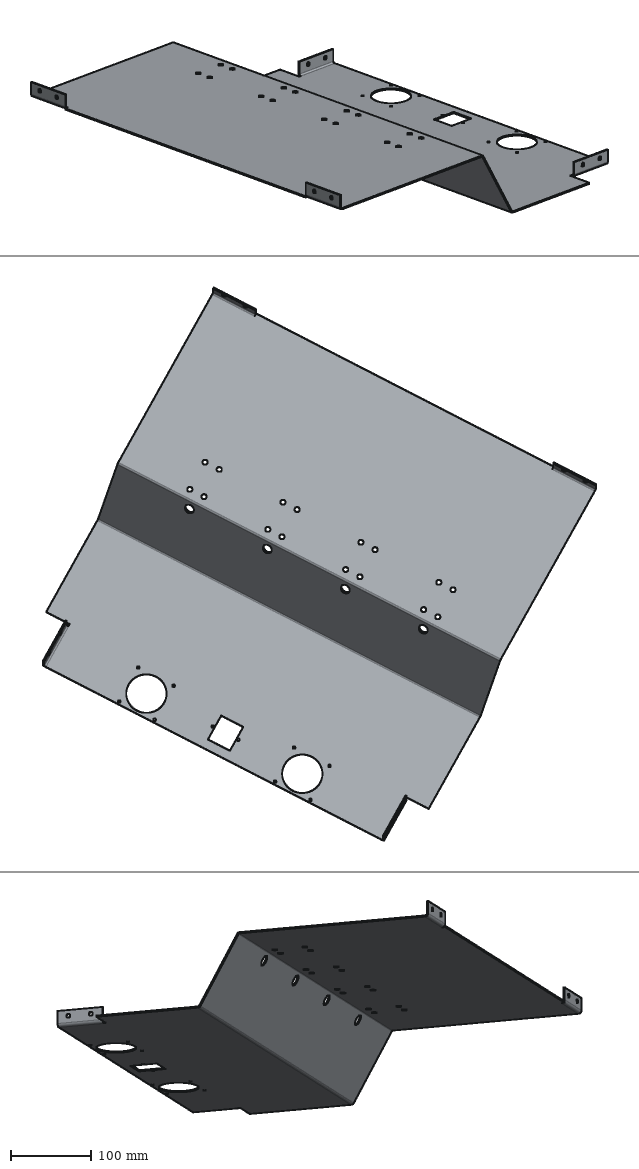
import cadquery as cq
import math

SHEET = 2.0
TAB_INNER_RADIUS = 2.11
TAB_OUTER_RADIUS = TAB_INNER_RADIUS + SHEET
UPPER_INNER_RADIUS = 0.92
UPPER_OUTER_RADIUS = UPPER_INNER_RADIUS + SHEET
LOWER_INNER_RADIUS = 2.11
LOWER_OUTER_RADIUS = LOWER_INNER_RADIUS + SHEET

WIDTH = 540.0
DEPTH = 504.2
HEIGHT = 110.33

SLOPE_ANGLE = 60.0
TAB_HEIGHT = 20.0
SHELF_Z = HEIGHT - TAB_HEIGHT
SHELF_DEPTH = 253.0

REAR_WIDTH = 482.0
NOTCH_DEPTH = 63.0

TAB_LENGTH = 60.0
TAB_HOLE_DIAMETER = 5.0
TAB_HOLE_SPACING = 30.0
TAB_HOLE_DROP = 7.5
SIDE_HOLE_SHIFT = 0.7

FAN_OFFSET = 110.0
FAN_INSET = 28.7
FAN_DIAMETER = 50.0
FAN_SCREW_SPACING = 50.0
SCREW_DIAMETER = 3.2

SOCKET_X = -1.0
SOCKET_INSET = 30.0
SOCKET_WIDTH = 31.0
SOCKET_LENGTH = 35.0
SOCKET_SCREW_SPACING = 36.0

STATION_PITCH = 110.0
STATION_COUNT = 4
MOUNT_DIAMETER = 6.4
MOUNT_X_SPACING = 20.0
MOUNT_Y_SPACING = 40.0
MOUNT_INSET = 13.0
CABLE_DIAMETER = 12.0
CABLE_DROP = 12.0
CABLE_CUT_LENGTH = 15.0

CUT_LENGTH = 30.0
STATION_XS = [(i - (STATION_COUNT - 1) / 2) * STATION_PITCH for i in range(STATION_COUNT)]


def make_stepped_sheet():
    """Upper shelf, slope and lower shelf as one bent sheet of full width."""
    angle = math.radians(SLOPE_ANGLE)
    slope_run = SHELF_Z / math.tan(angle)
    bend_shift = SHEET * math.tan(angle / 2)
    top_bend_y = SHELF_DEPTH
    low_bend_y = top_bend_y + slope_run
    sheet = (
        cq.Workplane("YZ")
        .moveTo(0, SHELF_Z + SHEET)
        .lineTo(top_bend_y, SHELF_Z + SHEET)
        .lineTo(low_bend_y, SHEET)
        .lineTo(DEPTH, SHEET)
        .lineTo(DEPTH, 0)
        .lineTo(low_bend_y - bend_shift, 0)
        .lineTo(top_bend_y - bend_shift, SHELF_Z)
        .lineTo(0, SHELF_Z)
        .close()
        .extrude(WIDTH / 2, both=True)
    )

    bends = [
        (top_bend_y, SHELF_Z + SHEET, UPPER_OUTER_RADIUS),
        (top_bend_y - bend_shift, SHELF_Z, UPPER_INNER_RADIUS),
        (low_bend_y - bend_shift, 0, LOWER_OUTER_RADIUS),
        (low_bend_y, SHEET, LOWER_INNER_RADIUS),
    ]
    for y, z, radius in bends:
        corner = cq.selectors.NearestToPointSelector((0, y, z))
        sheet = sheet.edges(corner).fillet(radius)
    return sheet


def make_tab(hole_shift):
    """Upright tab centred on X = 0, outer face at Y = 0, bent up from a sheet whose bottom is Z = 0.

    The pair of holes is moved along X by hole_shift from the middle of the tab.
    """
    hole_xs = [hole_shift + side * TAB_HOLE_SPACING / 2 for side in (-1, 1)]
    outer_mid = TAB_OUTER_RADIUS * (1 - math.sqrt(0.5))
    inner_mid = TAB_OUTER_RADIUS - TAB_INNER_RADIUS * math.sqrt(0.5)
    tab = (
        cq.Workplane("YZ")
        .moveTo(TAB_OUTER_RADIUS, 0)
        .threePointArc((outer_mid, outer_mid), (0, TAB_OUTER_RADIUS))
        .lineTo(0, TAB_HEIGHT)
        .lineTo(SHEET, TAB_HEIGHT)
        .lineTo(SHEET, TAB_OUTER_RADIUS)
        .threePointArc((inner_mid, inner_mid), (TAB_OUTER_RADIUS, SHEET))
        .close()
        .extrude(TAB_LENGTH / 2, both=True)
    )
    holes = (
        cq.Workplane("XZ")
        .pushPoints([(x, TAB_HEIGHT - TAB_HOLE_DROP) for x in hole_xs])
        .circle(TAB_HOLE_DIAMETER / 2)
        .extrude(CUT_LENGTH, both=True)
    )
    return tab.cut(holes)


def add_front_tabs(body):
    """Trim the front corners back to the bend lines and join the two front tabs."""
    tab = make_tab(0)
    strip = cq.Workplane("XY").box(TAB_LENGTH, 2 * TAB_OUTER_RADIUS, CUT_LENGTH)
    for side in (-1, 1):
        position = (side * (WIDTH - TAB_LENGTH) / 2, 0, SHELF_Z)
        body = body.cut(strip.translate(position)).union(tab.translate(position))
    return body


def add_side_tabs(body):
    """Notch the rear corners to the bend lines and join the two side tabs."""
    notch_width = (WIDTH - REAR_WIDTH) / 2 + TAB_OUTER_RADIUS
    notch = cq.Workplane("XY").box(2 * notch_width, 2 * NOTCH_DEPTH, CUT_LENGTH)
    for side in (-1, 1):
        tab = make_tab(side * SIDE_HOLE_SHIFT).rotate((0, 0, 0), (0, 0, 1), side * 90)
        body = body.cut(notch.translate((side * WIDTH / 2, DEPTH, 0)))
        body = body.union(tab.translate((side * REAR_WIDTH / 2, DEPTH - TAB_LENGTH / 2, 0)))
    return body


def vertical_pins(points, diameter, z):
    """Vertical cylinders that pass through the sheet at height z."""
    return (
        cq.Workplane("XY", origin=(0, 0, z))
        .pushPoints(points)
        .circle(diameter / 2)
        .extrude(CUT_LENGTH, both=True)
    )


def cut_fans(body):
    """Two large round openings, each with four screw holes at the corners of a square."""
    y = DEPTH - FAN_INSET
    half = FAN_SCREW_SPACING / 2
    for x in (-FAN_OFFSET, FAN_OFFSET):
        screws = [(x + i * half, y + j * half) for i in (-1, 1) for j in (-1, 1)]
        body = body.cut(vertical_pins([(x, y)], FAN_DIAMETER, 0))
        body = body.cut(vertical_pins(screws, SCREW_DIAMETER, 0))
    return body


def cut_socket(body):
    """Rectangular opening with a screw hole on each side."""
    y = DEPTH - SOCKET_INSET
    opening = cq.Workplane("XY").box(SOCKET_WIDTH, SOCKET_LENGTH, CUT_LENGTH)
    screws = [(SOCKET_X + side * SOCKET_SCREW_SPACING / 2, y) for side in (-1, 1)]
    body = body.cut(opening.translate((SOCKET_X, y, 0)))
    return body.cut(vertical_pins(screws, SCREW_DIAMETER, 0))


def cut_mounts(body):
    """Four mounting holes in the upper shelf at each station."""
    rear_y = SHELF_DEPTH - MOUNT_INSET
    points = [
        (x + side * MOUNT_X_SPACING / 2, y)
        for x in STATION_XS
        for side in (-1, 1)
        for y in (rear_y, rear_y - MOUNT_Y_SPACING)
    ]
    return body.cut(vertical_pins(points, MOUNT_DIAMETER, SHELF_Z))


def cut_cable_holes(body):
    """Round holes along Y through the slope, one per station."""
    centre_y = SHELF_DEPTH + CABLE_DROP / math.tan(math.radians(SLOPE_ANGLE))
    centre_z = SHELF_Z + SHEET - CABLE_DROP
    holes = (
        cq.Workplane("XZ", origin=(0, centre_y, centre_z))
        .pushPoints([(x, 0) for x in STATION_XS])
        .circle(CABLE_DIAMETER / 2)
        .extrude(CABLE_CUT_LENGTH, both=True)
    )
    return body.cut(holes)


result = make_stepped_sheet()
result = add_front_tabs(result)
result = add_side_tabs(result)
result = cut_fans(result)
result = cut_socket(result)
result = cut_mounts(result)
result = cut_cable_holes(result)